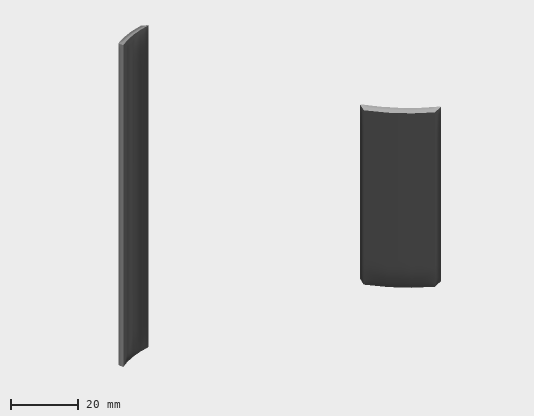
import cadquery as cq
import math

length = 98.4
width_x = 6.9
width_y = 23.2

inner_radius = 80.7
thickness = 1.9

inner_top = (1.8, width_y)
inner_bottom = (width_x, 0.1)

top_tip = (1.6, width_y)
top_flank_end = (0.0, 21.7)
top_bevel_y = 21.3
bottom_tip = (6.7, 0.0)
bottom_flank_end = (5.1, 0.9)
bottom_bevel_y = 1.2


def arc_center(start, end, radius):
    """Centre, on the +X side, of the arc that joins two points."""
    chord_x = end[0] - start[0]
    chord_y = end[1] - start[1]
    chord = math.hypot(chord_x, chord_y)
    offset = math.sqrt(radius**2 - (chord / 2) ** 2)
    mid_x = (start[0] + end[0]) / 2
    mid_y = (start[1] + end[1]) / 2
    return (mid_x - offset * chord_y / chord, mid_y + offset * chord_x / chord)


center_x, center_y = arc_center(inner_top, inner_bottom, inner_radius)


def face_point(radius, y):
    """Point at height y on the -X side of a circle about the common centre."""
    return (center_x - math.sqrt(radius**2 - (y - center_y) ** 2), y)


outer_radius = inner_radius + thickness
middle_y = width_y / 2

section = (
    cq.Workplane("XY")
    .moveTo(*inner_top)
    .lineTo(*top_tip)
    .lineTo(*top_flank_end)
    .lineTo(*face_point(outer_radius, top_bevel_y))
    .threePointArc(face_point(outer_radius, middle_y), face_point(outer_radius, bottom_bevel_y))
    .lineTo(*bottom_flank_end)
    .lineTo(*bottom_tip)
    .lineTo(*inner_bottom)
    .threePointArc(face_point(inner_radius, middle_y), inner_top)
    .close()
)

result = section.extrude(length)